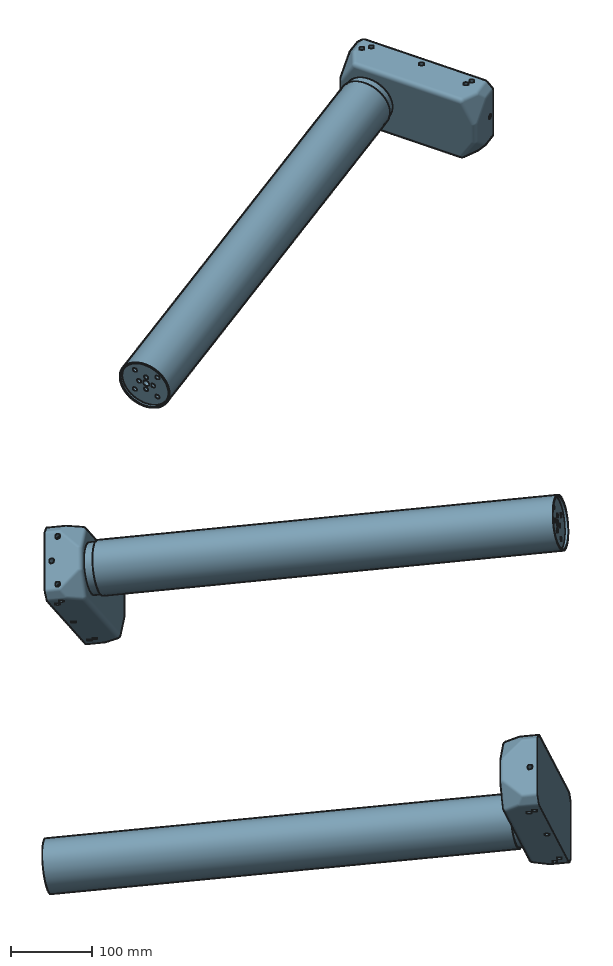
import cadquery as cq

housing_width = 190.0
housing_height = 96.0
housing_depth = 48.0
vertical_chamfer = 10.0
edge_radius = 6.0

corner_cut_x = 21.0
corner_cut_z = 37.0
corner_cut_y = 39.5

housing_hole_diameter = 6.5
outer_row_depth = 9.0
inner_row_depth = 17.0
outer_row_spacing = 69.5
inner_row_left = -78.5
inner_row_right = 65.5
side_hole_spacing = 31.0
side_hole_depth = 10.0

total_length = 650.0
column_offset = 52.5
sleeve_diameter = 69.5
rod_diameter = 65.5
neck_length = 11.0
rod_recess = 4.0

end_hole_depth = 10.0
center_hole_diameter = 8.5
end_hole_diameter = 6.0
inner_circle_radius = 10.0
square_half_side = 15.5

housing_front = -housing_depth
sleeve_start = housing_front - neck_length
sleeve_end = -total_length
rod_end = sleeve_end + rod_recess
half_width = housing_width / 2
half_height = housing_height / 2


def cylinder_along_y(diameter, y_start, y_end, x=0.0, z=0.0):
    """Cylinder parallel to Y, running towards -Y from y_start to y_end."""
    return (
        cq.Workplane("XZ", origin=(x, y_start, z))
        .circle(diameter / 2)
        .extrude(y_start - y_end)
    )


def corner_cutter(side_x, side_z):
    """Tetrahedron that takes off one front corner of the housing."""
    corner = cq.Vector(side_x * half_width, housing_front, side_z * half_height)
    along_x = corner + cq.Vector(-side_x * corner_cut_x, 0, 0)
    along_y = corner + cq.Vector(0, corner_cut_y, 0)
    along_z = corner + cq.Vector(0, 0, -side_z * corner_cut_z)
    triangles = [
        (corner, along_x, along_y),
        (corner, along_y, along_z),
        (corner, along_z, along_x),
        (along_x, along_y, along_z),
    ]
    faces = [cq.Face.makeFromWires(cq.Wire.makePolygon(points, close=True)) for points in triangles]
    return cq.Workplane(cq.Solid.makeSolid(cq.Shell.makeShell(faces)))


def vertical_holes():
    """Two rows of holes that run through the housing from top to bottom."""
    places = [(x, -outer_row_depth) for x in (-outer_row_spacing, 0, outer_row_spacing)]
    places += [(x, -inner_row_depth) for x in (inner_row_left, inner_row_right)]
    return (
        cq.Workplane("XY", origin=(0, 0, -half_height))
        .pushPoints(places)
        .circle(housing_hole_diameter / 2)
        .extrude(housing_height)
    )


def side_holes(places, depth):
    """Holes that enter the -X side of the housing at the given (y, z) places."""
    return (
        cq.Workplane("YZ", origin=(-half_width, 0, 0))
        .pushPoints(places)
        .circle(housing_hole_diameter / 2)
        .extrude(depth)
    )


def make_housing():
    """Box with chamfered and slanted corners, rounded edges, and holes in the top and the -X side."""
    body = (
        cq.Workplane("XY")
        .box(housing_width, housing_depth, housing_height)
        .translate((0, housing_front / 2, 0))
        .edges("|Y")
        .chamfer(vertical_chamfer)
    )
    for side_x in (-1, 1):
        for side_z in (-1, 1):
            body = body.cut(corner_cutter(side_x, side_z))
    back_edges = cq.selectors.BoxSelector(
        (-housing_width, -edge_radius / 2, -housing_height),
        (housing_width, edge_radius / 2, housing_height),
    )
    body = body.edges(cq.selectors.InverseSelector(back_edges)).fillet(edge_radius)
    blind_places = [(-inner_row_depth, z) for z in (-side_hole_spacing, side_hole_spacing)]
    body = body.cut(vertical_holes())
    body = body.cut(side_holes([(-outer_row_depth, 0)], housing_width))
    return body.cut(side_holes(blind_places, side_hole_depth))


def make_rod():
    """Inner rod: stands on the front of the housing, with screw holes in its free end."""
    rod = cylinder_along_y(rod_diameter, housing_front, rod_end, -column_offset)
    holes = [(0, 0, center_hole_diameter)]
    for sign in (-1, 1):
        holes.append((sign * inner_circle_radius, 0, end_hole_diameter))
        holes.append((0, sign * inner_circle_radius, end_hole_diameter))
        for other_sign in (-1, 1):
            holes.append((sign * square_half_side, other_sign * square_half_side, end_hole_diameter))
    for x, z, diameter in holes:
        rod = rod.cut(cylinder_along_y(diameter, rod_end + end_hole_depth, rod_end, x - column_offset, z))
    return rod


def make_sleeve():
    """Outer tube around the rod, reaching past the free end of the rod."""
    outside = cylinder_along_y(sleeve_diameter, sleeve_start, sleeve_end, -column_offset)
    bore = cylinder_along_y(rod_diameter, sleeve_start, sleeve_end, -column_offset)
    return outside.cut(bore)


housing = make_housing()
rod = make_rod()
sleeve = make_sleeve()

result = cq.Compound.makeCompound([housing.val(), rod.val(), sleeve.val()])